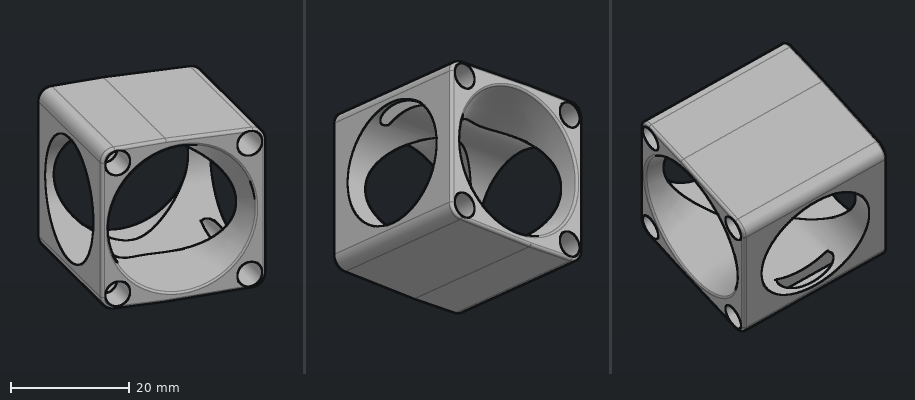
import cadquery as cq
import math

side = 30.0
half = side / 2
ridge_y = -3.18
roof_angle = 1.2
corner_radius = 2.5
rim_radius = 0.57

mouth_radius = 13.45
mouth_y = -0.25
throat_radius = 10.55
throat_y = -2.52
mouth_round = 0.45

cross_bore_diameter = 22.5

screw_diameter = 4.5
screw_offset = 12.0
screw_depth = 6.0
drill_point_angle = 118.0
channel_wall_y = 10.98


def make_body():
    slope = math.tan(math.radians(roof_angle))
    back_z = half - (half - ridge_y) * slope
    front_z = half - (half + ridge_y) * slope
    outline = [
        (-half, -front_z),
        (ridge_y, -half),
        (half, -back_z),
        (half, back_z),
        (ridge_y, half),
        (-half, front_z),
    ]
    body = cq.Workplane("YZ", origin=(-half, 0, 0)).polyline(outline).close().extrude(side)
    body = body.edges("|X").edges("<Y or >Y").fillet(corner_radius)
    return body.faces("<X or >X").edges().fillet(rim_radius)


def make_passage():
    return (
        cq.Workplane("YZ", origin=(-half, 0, 0))
        .center(mouth_y, 0).circle(mouth_radius)
        .workplane(offset=half).center(throat_y - mouth_y, 0).circle(throat_radius)
        .workplane(offset=half).center(mouth_y - throat_y, 0).circle(mouth_radius)
        .loft(ruled=False)
    )


def make_web(y, z):
    """Material left between the drill points of two screw holes facing each other along X."""
    reach = screw_diameter
    cone_rate = 1 / math.tan(math.radians(drill_point_angle / 2))
    tip_x = half - screw_depth - screw_diameter / 2 * cone_rate
    rim_x = tip_x + reach * cone_rate
    profile = [(-tip_x, 0), (tip_x, 0), (rim_x, reach), (-rim_x, reach)]
    web = cq.Workplane("XY").polyline(profile).close().revolve(360, (0, 0), (1, 0))
    return web.translate((0, y, z))


def make_screw_holes(y, z):
    """Pair of facing screw holes; behind the channel wall they run into one another."""
    rod = (
        cq.Workplane("YZ", origin=(-half, 0, 0))
        .center(y, z).circle(screw_diameter / 2).extrude(side)
    )
    before_wall = cq.Workplane("XY").box(side, side, side).translate((0, channel_wall_y - half, z))
    return rod.cut(make_web(y, z).intersect(before_wall))


result = make_body().cut(make_passage())

for end_face in ("<X", ">X"):
    mouth = result.faces(end_face).val().innerWires()[0]
    result = result.newObject(mouth.Edges()).fillet(mouth_round)

result = result.cut(
    cq.Workplane("XZ", origin=(0, half, 0)).circle(cross_bore_diameter / 2).extrude(side)
)

for y in (-screw_offset, screw_offset):
    for z in (-screw_offset, screw_offset):
        result = result.cut(make_screw_holes(y, z))